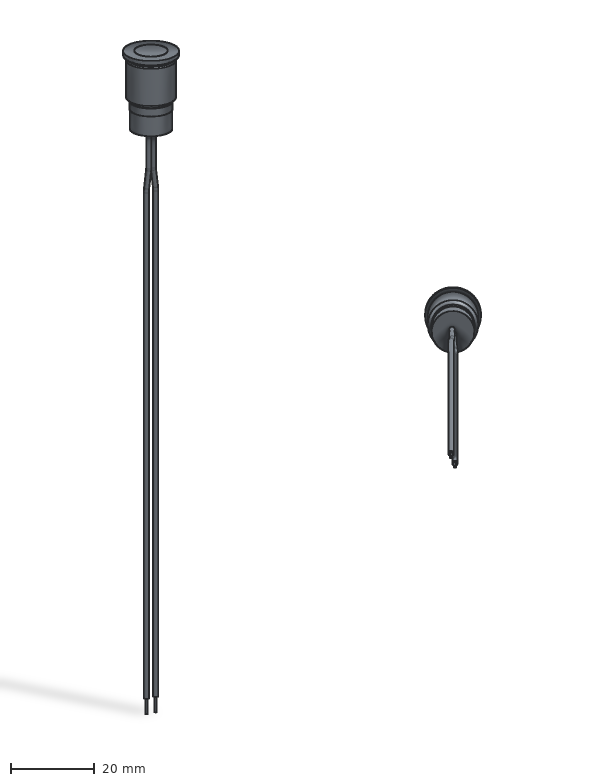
import cadquery as cq
import math

TOTAL_HEIGHT = 170.2
FLANGE_DIAMETER = 13.5
NECK_DIAMETER = 10.2
BODY_DIAMETER = 12.0
COLLAR_DIAMETER = 10.4
REAR_DIAMETER = 10.2
GROOVE_DIAMETER = 9.5
FLANGE_BOTTOM = 169.0
BODY_TOP = 168.2
BODY_CHAMFER = 0.3
BODY_BOTTOM = 158.3
COLLAR_TOP = 157.3
REAR_TOP = 155.2
REAR_BOTTOM = 150.1

WINDOW_DIAMETER = 8.0
WINDOW_RISE = 0.09

WIRE_DIAMETER = 1.3
CONDUCTOR_DIAMETER = 0.6
JOINED_PITCH = 1.28
SPREAD_PITCH = 2.5
UPPER_BEND_HEIGHT = 139.9
LOWER_BEND_HEIGHT = 134.6
UPPER_BEND_TANGENT = 0.25
LOWER_BEND_TANGENT = 0.5
STRIPPED_LENGTH = 4.0
EMBEDDED_LENGTH = 0.9


def make_housing():
    """Revolve the stepped housing about Z."""
    flange_radius = FLANGE_DIAMETER / 2
    neck_radius = NECK_DIAMETER / 2
    body_radius = BODY_DIAMETER / 2
    collar_radius = COLLAR_DIAMETER / 2
    groove_radius = GROOVE_DIAMETER / 2
    rear_radius = REAR_DIAMETER / 2
    window_radius = WINDOW_DIAMETER / 2
    flange_top = TOTAL_HEIGHT - WINDOW_RISE
    profile = [
        (0, TOTAL_HEIGHT),
        (window_radius, TOTAL_HEIGHT),
        (window_radius, flange_top),
        (flange_radius, flange_top),
        (flange_radius, FLANGE_BOTTOM),
        (neck_radius, FLANGE_BOTTOM),
        (neck_radius, BODY_TOP),
        (body_radius - BODY_CHAMFER, BODY_TOP),
        (body_radius, BODY_TOP - BODY_CHAMFER),
        (body_radius, BODY_BOTTOM),
        (groove_radius, COLLAR_TOP),
        (collar_radius, COLLAR_TOP),
        (collar_radius, REAR_TOP),
        (rear_radius, REAR_TOP),
        (rear_radius, REAR_BOTTOM),
        (0, REAR_BOTTOM),
    ]
    return cq.Workplane("XZ").polyline(profile).close().revolve(360, (0, 0), (0, 1))


def make_wire(side):
    """Sweep one wire, on the side of +Y (1) or -Y (-1), with its bare conductor end."""
    top = REAR_BOTTOM + EMBEDDED_LENGTH
    joined_y = side * JOINED_PITCH / 2
    spread_y = side * SPREAD_PITCH / 2
    slope = math.atan2(spread_y - joined_y, UPPER_BEND_HEIGHT - LOWER_BEND_HEIGHT)
    slant_start = (
        joined_y + UPPER_BEND_TANGENT * math.sin(slope),
        UPPER_BEND_HEIGHT - UPPER_BEND_TANGENT * math.cos(slope),
    )
    slant_end = (
        spread_y - LOWER_BEND_TANGENT * math.sin(slope),
        LOWER_BEND_HEIGHT + LOWER_BEND_TANGENT * math.cos(slope),
    )
    path = (
        cq.Workplane("YZ")
        .moveTo(joined_y, top)
        .lineTo(joined_y, UPPER_BEND_HEIGHT + UPPER_BEND_TANGENT)
        .tangentArcPoint(slant_start, relative=False)
        .lineTo(*slant_end)
        .tangentArcPoint((spread_y, LOWER_BEND_HEIGHT - LOWER_BEND_TANGENT), relative=False)
        .lineTo(spread_y, STRIPPED_LENGTH)
    )
    insulation = (
        cq.Workplane("XY", origin=(0, joined_y, top))
        .circle(WIRE_DIAMETER / 2)
        .sweep(path)
    )
    conductor = (
        cq.Workplane("XY", origin=(0, spread_y, 0))
        .circle(CONDUCTOR_DIAMETER / 2)
        .extrude(STRIPPED_LENGTH + EMBEDDED_LENGTH)
    )
    return insulation.union(conductor)


result = make_housing()
for side in (-1, 1):
    result = result.union(make_wire(side))

result = result.translate((0, 0, -TOTAL_HEIGHT / 2))